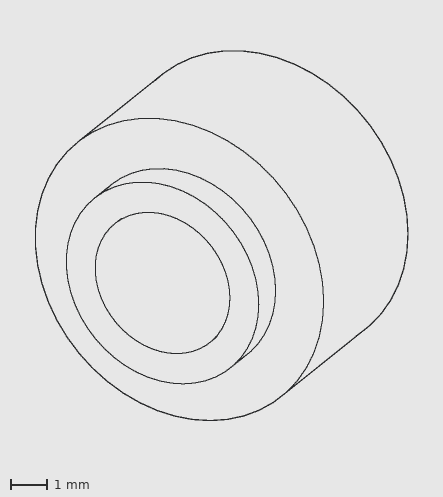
import cadquery as cq

body_diameter = 9.0
total_length = 6.0
collar_diameter = 6.0
collar_length = 1.0
bore_diameter = 4.2

body_length = total_length - collar_length

body = cq.Workplane("XZ").circle(body_diameter / 2).extrude(body_length)

collar = (
    cq.Workplane("XZ", origin=(0, -body_length, 0))
    .circle(collar_diameter / 2)
    .extrude(collar_length)
)

bore = cq.Workplane("XZ").circle(bore_diameter / 2).extrude(total_length)

result = body.union(collar).cut(bore)